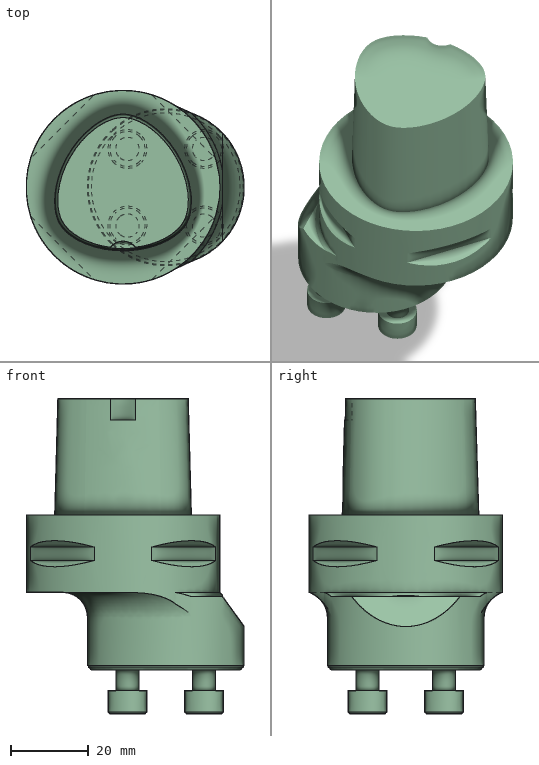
import cadquery as cq
import math

TOTAL_LENGTH_X = 56.3
TOTAL_HEIGHT = 81.3

FLANGE_RADIUS = 50.0 / 2
FLANGE_HEIGHT = 20.0

SHANK_HEIGHT = 30.0
BASE_MEAN_RADIUS = 17.65
BASE_LOBE = 1.2
TOP_MEAN_RADIUS = 16.8
TOP_LOBE = 1.1
LOBE_COUNT = 3
PATCH_HALF_ANGLE = 37
CURVE_STEPS = 10

NOTCH_RADIUS = 4.0
NOTCH_CENTRE_Y = -17.9
NOTCH_DEPTH = 5.5

SLOT_COUNT = 4
SLOT_FLOOR_DISTANCE = 22.1
SLOT_FLOOR_HEIGHT = 3.4
SLOT_FLARE_ANGLE = 30
SLOT_LENGTH = 32.5

BODY_RADIUS = 20.25
BODY_OFFSET = TOTAL_LENGTH_X - FLANGE_RADIUS - BODY_RADIUS
BODY_HEIGHT = 20.0
BODY_BOTTOM = -FLANGE_HEIGHT - BODY_HEIGHT
RIM_RADIUS = 20.0
RIM_HEIGHT = 1.2
RIM_CHAMFER = 0.8
COLLAR_RADIUS = 6.3

STEP_HEIGHT = 1.05
STEP_RADIUS = 26.0
WALL_RIM_X = 13.6
LEDGE_Z = -FLANGE_HEIGHT - STEP_HEIGHT

BEVEL_START_X = 25.7
BEVEL_END_Z = -28.8

SCREW_SPACING = 19.8
STEM_DIAMETER = 6.0
HEAD_DIAMETER = 10.0
HEAD_HEIGHT = 6.0
HEAD_CHAMFER = 0.5
SCREW_LENGTH = TOTAL_HEIGHT - SHANK_HEIGHT + BODY_BOTTOM


def lobe_point(mean_radius, lobe, angle):
    """Point of the constant-width lobed outline whose outward normal has this angle from +Y."""
    turn = math.radians(angle)
    support = mean_radius + lobe * math.cos(LOBE_COUNT * turn)
    slope = -LOBE_COUNT * lobe * math.sin(LOBE_COUNT * turn)
    x = -support * math.sin(turn) - slope * math.cos(turn)
    y = support * math.cos(turn) - slope * math.sin(turn)
    return cq.Vector(x, y, 0)


def lobe_wire(mean_radius, lobe, z):
    """Closed outline of alternating lobe and side curves, meeting tangentially."""
    pitch = 360 / LOBE_COUNT
    edges = []
    for index in range(LOBE_COUNT):
        start = index * pitch - PATCH_HALF_ANGLE
        middle = index * pitch + PATCH_HALF_ANGLE
        for first, last in [(start, middle), (middle, start + pitch)]:
            angles = [first + (last - first) * step / CURVE_STEPS for step in range(CURVE_STEPS + 1)]
            points = [lobe_point(mean_radius, lobe, angle) for angle in angles]
            tangents = [
                cq.Vector(-math.cos(math.radians(a)), -math.sin(math.radians(a)), 0) for a in (first, last)
            ]
            edges.append(cq.Edge.makeSpline(points, tangents=tangents))
    return cq.Wire.assembleEdges(edges).translate(cq.Vector(0, 0, z))


def make_shank():
    base = lobe_wire(BASE_MEAN_RADIUS, BASE_LOBE, 0)
    top = lobe_wire(TOP_MEAN_RADIUS, TOP_LOBE, SHANK_HEIGHT)
    shank = cq.Workplane(obj=cq.Solid.makeLoft([base, top], True))
    notch = (
        cq.Workplane(origin=(0, NOTCH_CENTRE_Y, SHANK_HEIGHT - NOTCH_DEPTH))
        .circle(NOTCH_RADIUS)
        .extrude(NOTCH_DEPTH)
    )
    return shank.cut(notch)


def make_flange():
    """Slotted flange with the part of the collar that lies under it."""
    full_height = FLANGE_HEIGHT + COLLAR_RADIUS
    flange = cq.Workplane(origin=(0, 0, -full_height)).circle(FLANGE_RADIUS).extrude(full_height)
    relief = (
        cq.Workplane(origin=(0, 0, -full_height))
        .circle(2 * FLANGE_RADIUS)
        .extrude(COLLAR_RADIUS)
        .cut(make_collar())
    )
    flange = flange.cut(relief)
    outer = FLANGE_RADIUS + 0.8
    floor_half = SLOT_FLOOR_HEIGHT / 2
    mouth_half = floor_half + (outer - SLOT_FLOOR_DISTANCE) * math.tan(math.radians(SLOT_FLARE_ANGLE))
    slot = (
        cq.Workplane("XZ", origin=(0, 0, -FLANGE_HEIGHT / 2))
        .polyline([
            (SLOT_FLOOR_DISTANCE, -floor_half),
            (outer, -mouth_half),
            (outer, mouth_half),
            (SLOT_FLOOR_DISTANCE, floor_half),
        ])
        .close()
        .extrude(SLOT_LENGTH / 2, both=True)
    )
    pitch = 360 / SLOT_COUNT
    for index in range(SLOT_COUNT):
        flange = flange.cut(slot.rotate((0, 0, 0), (0, 0, 1), (index + 0.5) * pitch))
    return flange


def make_collar():
    """Body core with a concave fillet flaring up to the flange underside."""
    top = -FLANGE_HEIGHT
    outer = BODY_RADIUS + COLLAR_RADIUS
    bend = COLLAR_RADIUS * math.sqrt(0.5)
    return (
        cq.Workplane("XZ", origin=(BODY_OFFSET, 0, 0))
        .moveTo(0, top)
        .lineTo(outer, top)
        .threePointArc((outer - bend, top - COLLAR_RADIUS + bend), (BODY_RADIUS, top - COLLAR_RADIUS))
        .lineTo(0, top - COLLAR_RADIUS)
        .close()
        .revolve(360, (0, 0, 0), (0, 1, 0))
    )


def make_body():
    body = (
        cq.Workplane("XZ", origin=(BODY_OFFSET, 0, 0))
        .polyline([
            (0, BODY_BOTTOM),
            (RIM_RADIUS - RIM_CHAMFER, BODY_BOTTOM),
            (RIM_RADIUS, BODY_BOTTOM + RIM_CHAMFER),
            (RIM_RADIUS, BODY_BOTTOM + RIM_HEIGHT),
            (BODY_RADIUS, BODY_BOTTOM + RIM_HEIGHT),
            (BODY_RADIUS, LEDGE_Z),
            (0, LEDGE_Z),
        ])
        .close()
        .revolve(360, (0, 0, 0), (0, 1, 0))
    )
    return body.union(make_step(make_collar())).cut(make_bevel_cutter())


def make_step(collar):
    """Conical step, ended on both sides by upright walls running to the flange rim."""
    corner_x = (STEP_RADIUS**2 - BODY_RADIUS**2 + BODY_OFFSET**2) / (2 * BODY_OFFSET)
    corner_y = math.sqrt(STEP_RADIUS**2 - corner_x**2)
    rim_y = math.sqrt(FLANGE_RADIUS**2 - WALL_RIM_X**2)

    foot = -FLANGE_HEIGHT - COLLAR_RADIUS
    outline = (
        cq.Workplane(origin=(0, 0, foot))
        .moveTo(0, 0)
        .lineTo(WALL_RIM_X, -rim_y)
        .lineTo(corner_x, -corner_y)
        .threePointArc((BODY_OFFSET + BODY_RADIUS, 0), (corner_x, corner_y))
        .lineTo(WALL_RIM_X, rim_y)
        .close()
        .extrude(COLLAR_RADIUS)
    )
    cone = (
        cq.Workplane("XZ")
        .polyline([
            (0, -FLANGE_HEIGHT),
            (FLANGE_RADIUS, -FLANGE_HEIGHT),
            (STEP_RADIUS, LEDGE_Z),
            (STEP_RADIUS, foot),
            (0, foot),
        ])
        .close()
        .revolve(360, (0, 0, 0), (0, 1, 0))
    )
    return outline.intersect(cone).intersect(collar)


def make_bevel_cutter():
    """Space above the sloping face, continued straight up to the flange underside."""
    end_x = BODY_OFFSET + BODY_RADIUS
    return (
        cq.Workplane("XZ")
        .polyline([
            (BEVEL_START_X, -FLANGE_HEIGHT),
            (BEVEL_START_X, LEDGE_Z),
            (end_x, BEVEL_END_Z),
            (end_x + BODY_RADIUS, BEVEL_END_Z),
            (end_x + BODY_RADIUS, -FLANGE_HEIGHT),
        ])
        .close()
        .extrude(BODY_RADIUS, both=True)
    )


def make_screws():
    positions = cq.Workplane(origin=(BODY_OFFSET, 0, BODY_BOTTOM)).rarray(SCREW_SPACING, SCREW_SPACING, 2, 2)
    stems = positions.circle(STEM_DIAMETER / 2).extrude(-SCREW_LENGTH)
    heads = (
        cq.Workplane(origin=(BODY_OFFSET, 0, BODY_BOTTOM - SCREW_LENGTH))
        .rarray(SCREW_SPACING, SCREW_SPACING, 2, 2)
        .circle(HEAD_DIAMETER / 2)
        .extrude(HEAD_HEIGHT)
        .faces("<Z")
        .chamfer(HEAD_CHAMFER)
    )
    return stems.union(heads)


result = make_flange().union(make_shank()).union(make_body()).union(make_screws())